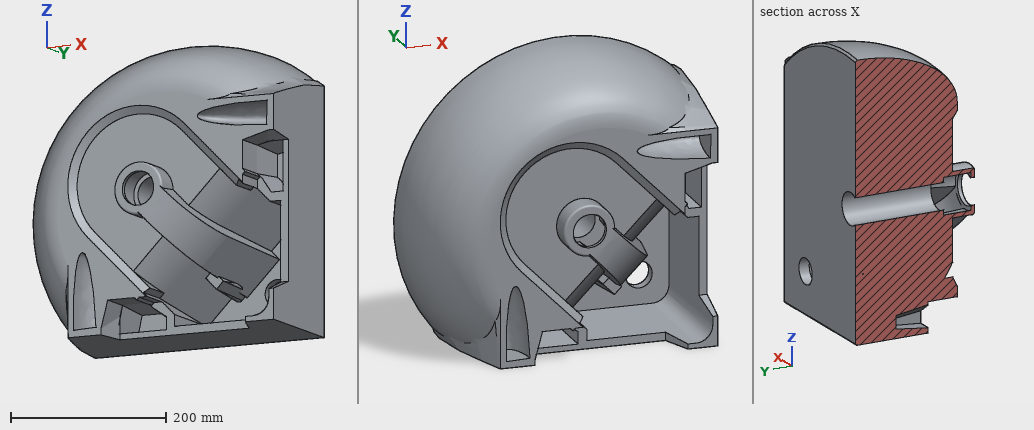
import cadquery as cq
import math


BODY_HEIGHT = 150.0
BOSS_HEIGHT = 175.0
CORNER = 182.8
DOME_OFFSET = 21.0
DOME_RADIUS = 229.75
FLAT_RADIUS = 150.0
BLOCK_SIDE = 113.0
BACK_EDGE = 3.0
BLEND_SECTIONS = [
    (BACK_EDGE, 52.0, 173.0, 154.0, 147.0),
    (61.0, 54.0, 167.0, 149.0, 139.0),
    (112.0, 55.0, 159.0, 131.0, 125.0),
    (145.0, 57.0, 139.0, 117.0, 115.0),
]
BLEND_SINK = 3.0
BLEND_ROOT = 100.0

FLOOR_HEIGHT = 15.0
SHELF_HEIGHT = 143.0
POCKET_FLOOR_RADIUS = 88.0
POCKET_RIM_RADIUS = 98.0
POCKET_CENTRE_U = -22.0
STEP_POCKET_U = 90.0
STEP_HALF_WIDTH = 97.0
SHELF_END_U = 56.0
SHELF_ROLL_RADIUS = 101.0
SHELF_ROLL_START = math.radians(35)
STEP_FOOT_U = 126.0
ROLL_ANGLE = math.radians(70)

NOTCH_HEIGHT = 107.0
NOTCH_U = 90.0
NOTCH_TOP = 66.0
NOTCH_TOP_SLOPE = 6.0
NOTCH_BOTTOM = -142.0
NOTCH_BOTTOM_SLOPE = 16.0
WALL = 7.0
POCKET_INNER_SIDE = 19.0
CORNER_POCKET_RADIUS = 23.0
CORNER_DRAFT = 5.8

BOSS_RADIUS = 34.5
BORE_RADIUS = 22.5
BOSS_EDGE_RADIUS = 3.0
BOSS_WALL = 6.0
HOLLOW_FLOOR_HEIGHT = 130.0
ARM_HALF_WIDTH = 22.5
ARM_FOOT_HALF_WIDTH = 33.0
ARM_START_U = 27.0
ARM_ROLL_RADIUS = 92.0
ARM_FOOT_U = 142.5
PAD_HEIGHT = 80.0
PAD_LENGTH = 22.0
PAD_WIDTH = 14.0
PAD_DRAFT = 5.5
PAD_CENTRE = (122.0, -33.0)

FIXING_HOLE_RADIUS = 18.0
FIXING_HOLE_OFFSET = 121.4

SIDE_RECESS = [(CORNER, 68.0), (138.0, 56.0), (138.0, 18.6), (150.0, 4.0), (162.0, -8.0), (CORNER, -8.0)]
SIDE_POCKET = [(175.0, 64.0), (138.0, 56.0), (138.0, 18.6), (145.0, 12.0), (158.0, -7.0), (175.0, -7.0)]
SIDE_FLOOR_HEIGHT = 60.0
SIDE_TAPER = 7.0

SCOOP_LENGTH = 100.0
SCOOP_HALF_WIDTH = 16.0
SCOOP_DEPTH = 45.0
SCOOP_END_X = 173.0
SCOOP_Z = 89.0
SCOOP_TILT = 2.2

REACH = 300.0

DIAGONAL = (1, 0, -1)


def plan(height=0.0):
    """Sketch plane parallel to the back, local axes X and Z."""
    return cq.Workplane("XZ", origin=(0, -height, 0))


def diagonal_plan(height=0.0):
    """Sketch plane parallel to the back, local axes u and v."""
    return cq.Workplane(cq.Plane(origin=(0, -height, 0), xDir=DIAGONAL, normal=(0, -1, 0)))


def diagonal_section():
    """Sketch plane on the symmetry plane, local axes u and height."""
    return cq.Workplane(cq.Plane(origin=(0, 0, 0), xDir=DIAGONAL, normal=(-1, 0, -1)))


def mirrored(shape):
    """The same shape reflected in the diagonal symmetry plane."""
    return shape.mirror(cq.Vector(1, 0, 1))


def roll_over(sketch, start, radius, start_angle=0.0):
    """Draw on from a (u, height) point with a convex arc that steepens up to ROLL_ANGLE."""
    def on_arc(angle):
        along = radius * (math.sin(angle) - math.sin(start_angle))
        drop = radius * (math.cos(start_angle) - math.cos(angle))
        return (start[0] + along, start[1] - drop)
    return sketch.threePointArc(on_arc((start_angle + ROLL_ANGLE) / 2), on_arc(ROLL_ANGLE))


def dome_radius(height):
    """Radius of the elliptical dome at a given height."""
    bulge = math.sqrt(1 - (height / BODY_HEIGHT) ** 2)
    return FLAT_RADIUS + (DOME_RADIUS - FLAT_RADIUS) * bulge


def block_meeting():
    """Distance from the dome axis, along the block wall, at which it meets the flat front face."""
    return math.sqrt(FLAT_RADIUS**2 - (BLOCK_SIDE + DOME_OFFSET) ** 2)


def section_wire(corners, height):
    points = [cq.Vector(x, -height, z) for x, z in corners]
    return cq.Wire.makePolygon(points, close=True)


def corner_blend():
    """Wedge that carries the dome into the upper wall of the corner block."""
    sections = []
    for height, angle, valley_x, valley_z, side_z in BLEND_SECTIONS:
        radius = dome_radius(height) - BLEND_SINK
        dome_x = DOME_OFFSET + radius * math.cos(math.radians(angle))
        dome_z = radius * math.sin(math.radians(angle)) - DOME_OFFSET
        corners = [
            (dome_x, dome_z), (valley_x, valley_z), (CORNER, side_z),
            (CORNER, BLEND_ROOT), (dome_x, BLEND_ROOT),
        ]
        sections.append(section_wire(corners, height))
    meeting_x = DOME_OFFSET + block_meeting()
    front = [
        (meeting_x, BLOCK_SIDE), ((meeting_x + CORNER) / 2, BLOCK_SIDE), (CORNER, BLOCK_SIDE),
        (CORNER, BLEND_ROOT), (meeting_x, BLEND_ROOT),
    ]
    sections.append(section_wire(front, BODY_HEIGHT))
    return cq.Workplane(cq.Solid.makeLoft(sections, True))


def outer_body():
    dome = (
        cq.Workplane("XY", origin=(DOME_OFFSET, 0, -DOME_OFFSET))
        .lineTo(0, -BODY_HEIGHT)
        .lineTo(FLAT_RADIUS, -BODY_HEIGHT)
        .ellipseArc(DOME_RADIUS - FLAT_RADIUS, BODY_HEIGHT, 270, 360)
        .close()
        .revolve(360, (0, 0), (0, 1))
    )
    limit = plan().rect(2 * REACH, 2 * REACH).extrude(BODY_HEIGHT)
    limit = limit.translate((CORNER - REACH, 0, REACH - CORNER))
    block_start = DOME_OFFSET + block_meeting()
    block = (
        plan()
        .polyline([
            (block_start, BLOCK_SIDE), (CORNER, BLOCK_SIDE), (CORNER, -CORNER),
            (-BLOCK_SIDE, -CORNER), (-BLOCK_SIDE, -block_start),
        ])
        .close()
        .extrude(BODY_HEIGHT)
    )
    body = dome.intersect(limit).union(block)
    body = body.faces(">Y").edges().chamfer(BACK_EDGE)
    blend = corner_blend()
    return body.union(blend).union(mirrored(blend))


def pocket_slot(sketch, radius):
    """Outline over the shelf, round at the boss end and square at the foot of the step."""
    return (
        sketch
        .moveTo(POCKET_CENTRE_U, radius)
        .threePointArc((POCKET_CENTRE_U - radius, 0), (POCKET_CENTRE_U, -radius))
        .lineTo(STEP_FOOT_U, -radius)
        .lineTo(STEP_FOOT_U, radius)
        .close()
    )


def shelf_pocket():
    """Shallow pocket round the boss with a sloped rim."""
    depth = BODY_HEIGHT - SHELF_HEIGHT
    lower = pocket_slot(diagonal_plan(SHELF_HEIGHT), POCKET_FLOOR_RADIUS)
    return pocket_slot(lower.workplane(offset=depth), POCKET_RIM_RADIUS).loft(ruled=True)


def step_pocket():
    """Straight-sided space over the steep part of the step."""
    length = STEP_FOOT_U - STEP_POCKET_U
    outline = diagonal_plan(FLOOR_HEIGHT).center(STEP_POCKET_U + length / 2, 0)
    return outline.rect(length, 2 * STEP_HALF_WIDTH).extrude(BODY_HEIGHT - FLOOR_HEIGHT)


def rolled_pocket():
    """Space over the rolled part of the step, as wide as the shelf."""
    length = STEP_FOOT_U - SHELF_END_U
    outline = diagonal_plan(FLOOR_HEIGHT).center(SHELF_END_U + length / 2, 0)
    return outline.rect(length, 2 * POCKET_FLOOR_RADIUS).extrude(BODY_HEIGHT - FLOOR_HEIGHT)


def corner_pocket():
    """Drafted square pocket over the corner floor, rounded in the far corner."""
    height = BODY_HEIGHT - FLOOR_HEIGHT
    inset = height * math.tan(math.radians(CORNER_DRAFT))
    top_far = CORNER - WALL
    floor_far = top_far - inset
    floor_middle = (floor_far + POCKET_INNER_SIDE) / 2
    floor_size = floor_far - POCKET_INNER_SIDE
    top_size = top_far - POCKET_INNER_SIDE
    pocket = (
        plan(FLOOR_HEIGHT)
        .center(floor_middle, -floor_middle)
        .rect(floor_size, floor_size)
        .workplane(offset=height)
        .center(inset / 2, -inset / 2)
        .rect(top_size, top_size)
        .loft(ruled=True)
    )
    corner_point = (floor_far + inset / 2, -FLOOR_HEIGHT - height / 2, -floor_far - inset / 2)
    return pocket.edges(cq.selectors.NearestToPointSelector(corner_point)).fillet(CORNER_POCKET_RADIUS)


def space_above_step():
    """Everything above the shelf, the rolled step and the corner floor."""
    far_u = 2 * CORNER
    sketch = (
        diagonal_section()
        .moveTo(far_u, FLOOR_HEIGHT)
        .lineTo(far_u, BODY_HEIGHT)
        .lineTo(-CORNER, BODY_HEIGHT)
        .lineTo(-CORNER, SHELF_HEIGHT)
        .lineTo(SHELF_END_U, SHELF_HEIGHT)
    )
    sketch = roll_over(sketch, (SHELF_END_U, SHELF_HEIGHT), SHELF_ROLL_RADIUS, SHELF_ROLL_START)
    return sketch.lineTo(STEP_FOOT_U, FLOOR_HEIGHT).close().extrude(CORNER, both=True)


def main_cavity():
    space = shelf_pocket().union(rolled_pocket()).union(step_pocket()).union(corner_pocket())
    return space.intersect(space_above_step())


def wall_notch():
    """Lowers the right-hand wall and the rim beside it, with sloped ends."""
    inner_x = SIDE_POCKET[1][0]
    ends = (
        cq.Workplane("YZ", origin=(inner_x, 0, 0))
        .polyline([
            (-BODY_HEIGHT, NOTCH_TOP), (-NOTCH_HEIGHT, NOTCH_TOP - NOTCH_TOP_SLOPE),
            (-NOTCH_HEIGHT, NOTCH_BOTTOM + NOTCH_BOTTOM_SLOPE), (-BODY_HEIGHT, NOTCH_BOTTOM),
        ])
        .close()
        .extrude(CORNER)
    )
    rim_cut = diagonal_plan(NOTCH_HEIGHT).center(NOTCH_U + CORNER, 0).rect(2 * CORNER, 2 * CORNER)
    rim_cut = rim_cut.extrude(BODY_HEIGHT - NOTCH_HEIGHT)
    return ends.intersect(rim_cut.union(side_recess()))


def side_recess():
    """Opening of the side pocket, from the front down to the notch."""
    return plan(NOTCH_HEIGHT).polyline(SIDE_RECESS).close().extrude(BODY_HEIGHT - NOTCH_HEIGHT)


def side_pocket():
    """Tapered blind pocket behind the lowered wall."""
    outline = plan(NOTCH_HEIGHT).polyline(SIDE_POCKET).close()
    return outline.extrude(SIDE_FLOOR_HEIGHT - NOTCH_HEIGHT, taper=SIDE_TAPER)


def scoop():
    """Half-ellipsoid hollow that deepens towards the side wall."""
    stretch = cq.Matrix([
        [SCOOP_LENGTH, 0, 0, 0],
        [0, SCOOP_DEPTH, 0, 0],
        [0, 0, SCOOP_HALF_WIDTH, 0],
    ])
    ball = cq.Workplane("YZ").sphere(1).intersect(cq.Workplane("XY").box(2, 4, 4).translate((-1, 0, 0)))
    hollow = cq.Workplane(ball.val().transformGeometry(stretch))
    hollow = hollow.rotate((0, 0, 0), (0, 1, 0), SCOOP_TILT)
    return hollow.translate((SCOOP_END_X, -BODY_HEIGHT, SCOOP_Z))


def arm(inset=0.0):
    """Drafted arm that rolls over from the boss tip to the corner floor, or its inside at an inset."""
    top = BOSS_HEIGHT - inset
    top_half = ARM_HALF_WIDTH - inset
    foot_half = ARM_FOOT_HALF_WIDTH - inset
    sketch = diagonal_section().moveTo(0, FLOOR_HEIGHT).lineTo(0, top).lineTo(ARM_START_U, top)
    sketch = roll_over(sketch, (ARM_START_U, top), ARM_ROLL_RADIUS - inset)
    side_shape = sketch.lineTo(ARM_FOOT_U - inset, FLOOR_HEIGHT).close().extrude(CORNER, both=True)
    across = cq.Workplane(cq.Plane(origin=(0, 0, 0), xDir=(1, 0, 1), normal=DIAGONAL))
    cross_section = (
        across
        .polyline([
            (-top_half, top), (top_half, top), (foot_half, FLOOR_HEIGHT), (-foot_half, FLOOR_HEIGHT),
        ])
        .close()
        .extrude(CORNER)
    )
    return side_shape.intersect(cross_section)


def boss():
    cylinder = plan(FLOOR_HEIGHT).circle(BOSS_RADIUS).extrude(BOSS_HEIGHT - FLOOR_HEIGHT)
    return cylinder.faces("<Y").edges().fillet(BOSS_EDGE_RADIUS)


def boss_hollow():
    """Chamber inside the boss and arm, behind the lip of the bore."""
    depth = BOSS_HEIGHT - BOSS_WALL - HOLLOW_FLOOR_HEIGHT
    round_part = plan(HOLLOW_FLOOR_HEIGHT).circle(BOSS_RADIUS - BOSS_WALL).extrude(depth)
    above_floor = plan(HOLLOW_FLOOR_HEIGHT).rect(2 * CORNER, 2 * CORNER).extrude(depth)
    return round_part.union(arm(BOSS_WALL).intersect(above_floor))


def arm_pad():
    """Small flat pad on the lower flank of the arm."""
    pad = diagonal_plan(PAD_HEIGHT).center(*PAD_CENTRE).rect(PAD_LENGTH, PAD_WIDTH)
    return pad.extrude(FLOOR_HEIGHT - PAD_HEIGHT, taper=-PAD_DRAFT)


def through_holes():
    bore = plan().circle(BORE_RADIUS).extrude(BOSS_HEIGHT)
    fixing = plan().center(FIXING_HOLE_OFFSET, -FIXING_HOLE_OFFSET).circle(FIXING_HOLE_RADIUS)
    return bore.union(fixing.extrude(BODY_HEIGHT))


result = outer_body().cut(main_cavity())
for feature in (wall_notch(), side_pocket(), scoop()):
    result = result.cut(feature).cut(mirrored(feature))
result = result.union(boss()).union(arm()).union(arm_pad())
result = result.cut(boss_hollow()).cut(through_holes())